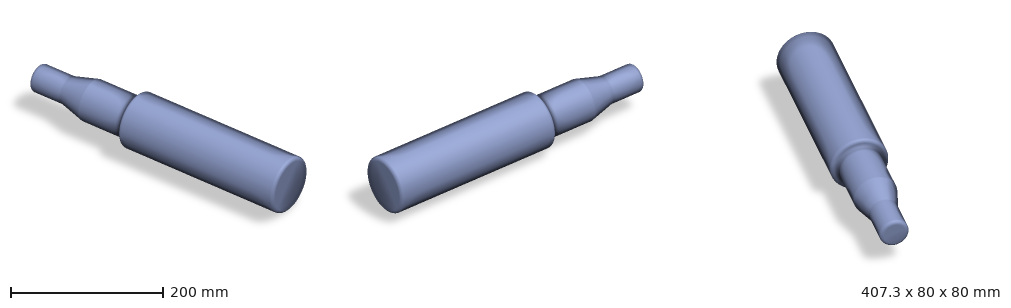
import cadquery as cq
import math

tip_diameter = 40.0
neck_diameter = 60.0

tip_length = 50.0
neck_length = 70.0
body_length = 250.0

cone_half_angle = math.radians(15.0)
corner_radius = 5.0

tip_radius = tip_diameter / 2
neck_radius = neck_diameter / 2
body_radius = neck_radius + 2 * corner_radius

cone_start = tip_length
cone_end = cone_start + (neck_radius - tip_radius) / math.tan(cone_half_angle)
shoulder = cone_end + neck_length
shaft_end = shoulder + body_length

blend_length = corner_radius * math.tan(cone_half_angle / 2)
blend_run = blend_length * math.cos(cone_half_angle)
blend_rise = blend_length * math.sin(cone_half_angle)


def add_tip(profile):
    """Flat end face, rounded corner and straight tip."""
    return (
        profile.lineTo(0, tip_radius - corner_radius)
        .tangentArcPoint((corner_radius, tip_radius), relative=False)
        .lineTo(cone_start - blend_length, tip_radius)
    )


def add_cone(profile):
    """Cone from tip to neck, blended at both ends."""
    return (
        profile.tangentArcPoint((cone_start + blend_run, tip_radius + blend_rise), relative=False)
        .lineTo(cone_end - blend_run, neck_radius - blend_rise)
        .tangentArcPoint((cone_end + blend_length, neck_radius), relative=False)
    )


def add_neck_and_shoulder(profile):
    """Straight neck, root fillet and rounded shoulder edge."""
    return (
        profile.lineTo(shoulder - corner_radius, neck_radius)
        .tangentArcPoint((shoulder, neck_radius + corner_radius), relative=False)
        .tangentArcPoint((shoulder + corner_radius, body_radius), relative=False)
    )


def add_body(profile):
    """Straight body, rounded corner and flat end face."""
    return (
        profile.lineTo(shaft_end - corner_radius, body_radius)
        .tangentArcPoint((shaft_end, body_radius - corner_radius), relative=False)
        .lineTo(shaft_end, 0)
    )


def make_shaft():
    """Revolve the half-profile about the X axis."""
    profile = cq.Workplane("XY").moveTo(0, 0)
    profile = add_tip(profile)
    profile = add_cone(profile)
    profile = add_neck_and_shoulder(profile)
    profile = add_body(profile)
    return profile.close().revolve(360, (0, 0, 0), (1, 0, 0))


result = make_shaft()